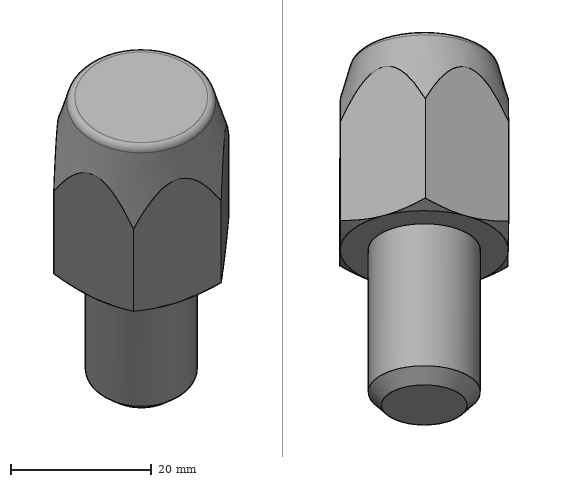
import cadquery as cq
import math

total_height = 55.0
across_flats = 24.0
head_bottom = 25.0
flat_radius = across_flats / 2
corner_radius = flat_radius / math.cos(math.radians(30))

taper_angle = 15.0
taper_start = 49.05
top_fillet = 1.2
taper_slope = math.tan(math.radians(taper_angle))
top_radius = flat_radius - (total_height - taper_start) * taper_slope

corner_chamfer_angle = 30.0

shank_diameter = 16.0
tip_diameter = 12.2
tip_height = 2.1


def make_hexagon():
    """Hexagonal prism with flats facing +X and -X."""
    return (
        cq.Workplane("XY")
        .workplane(offset=head_bottom)
        .polygon(6, 2 * corner_radius)
        .extrude(total_height - head_bottom)
        .rotate((0, 0, 0), (0, 0, 1), 30)
    )


def make_head_envelope():
    """Round body that tapers the top and chamfers the lower corners."""
    outer_radius = corner_radius + 0.55
    overhang = outer_radius - flat_radius
    chamfer_top = head_bottom + overhang * math.tan(math.radians(corner_chamfer_angle))
    cone_bottom = taper_start - overhang / taper_slope
    profile = (
        cq.Workplane("XZ")
        .moveTo(0, head_bottom)
        .lineTo(flat_radius, head_bottom)
        .lineTo(outer_radius, chamfer_top)
        .lineTo(outer_radius, cone_bottom)
        .lineTo(top_radius, total_height)
        .lineTo(0, total_height)
        .close()
    )
    body = profile.revolve(360, (0, 0, 0), (0, 1, 0))
    return body.faces(">Z").edges().fillet(top_fillet)


def make_shank():
    """Cylindrical shank with a conical tip."""
    profile = (
        cq.Workplane("XZ")
        .lineTo(tip_diameter / 2, 0)
        .lineTo(shank_diameter / 2, tip_height)
        .lineTo(shank_diameter / 2, head_bottom)
        .lineTo(0, head_bottom)
        .close()
    )
    return profile.revolve(360, (0, 0, 0), (0, 1, 0))


head = make_hexagon().intersect(make_head_envelope())
result = head.union(make_shank())